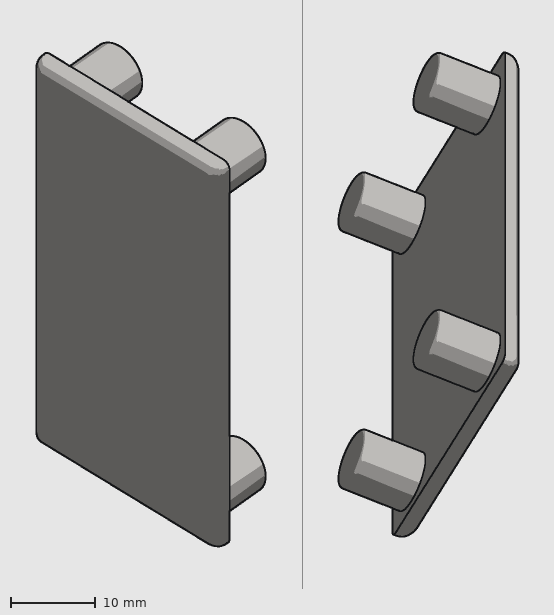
import cadquery as cq

width = 30.0
height = 60.0
total_depth = 10.5
plate_thickness = 2.5
corner_radius = 1.0
face_fillet = 2.0

peg_diameter = 7.5
peg_inset = 5.05
peg_end_fillet = 0.5

back_y = total_depth / 2
front_y = -back_y
peg_length = total_depth - plate_thickness


def make_plate():
    """Plate with rounded corners and a rounded front rim."""
    plate = cq.Workplane("XY").box(width, plate_thickness, height)
    plate = plate.edges("|Y").fillet(corner_radius)
    plate = plate.faces("<Y").edges().fillet(face_fillet)
    return plate.translate((0, front_y + plate_thickness / 2, 0))


def make_pegs():
    """Four pegs, one near each corner, with rounded free ends."""
    return (
        cq.Workplane("XZ", origin=(0, back_y, 0))
        .rect(width - 2 * peg_inset, height - 2 * peg_inset, forConstruction=True)
        .vertices()
        .circle(peg_diameter / 2)
        .extrude(peg_length)
        .faces(">Y")
        .edges()
        .fillet(peg_end_fillet)
    )


result = make_plate().union(make_pegs())